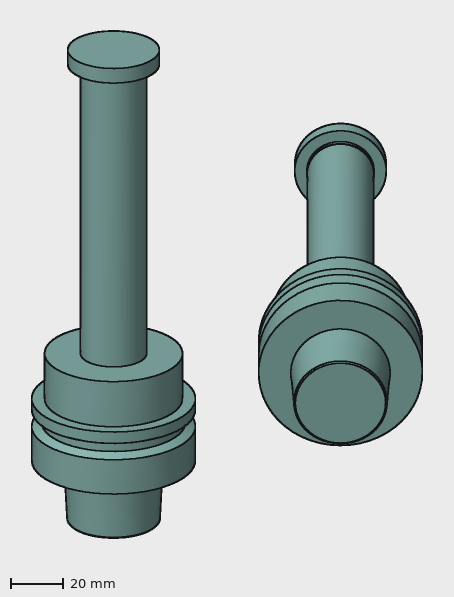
import cadquery as cq

TOTAL_HEIGHT = 198.0
FLANGE_BOTTOM = 25.0
FLANGE_TOP = 51.0
NOSE_TOP = 70.0
HEAD_THICKNESS = 6.1
NECK_LENGTH = 1.8
HEAD_BOTTOM = TOTAL_HEIGHT - HEAD_THICKNESS
SHANK_TOP = HEAD_BOTTOM - NECK_LENGTH

FLANGE_RADIUS = 63.0 / 2
NOSE_RADIUS = 53.0 / 2
SHANK_RADIUS = 25.5 / 2
NECK_RADIUS = 26.0 / 2
HEAD_RADIUS = 35.2 / 2
TAPER_TOP_RADIUS = 38.2 / 2
TAPER_BOTTOM_RADIUS = 35.8 / 2
TAPER_CHAMFER = 0.5

GROOVE_BOTTOM = 39.5
GROOVE_TOP = 46.3
GROOVE_FLOOR_RADIUS = 27.7
GROOVE_FLANK_HEIGHT = 1.8


def revolve_profile(points):
    """Revolve a closed (radius, height) outline around the Z axis."""
    return cq.Workplane("XZ").polyline(points).close().revolve(360, (0, 0), (0, 1))


def make_holder():
    """Tapered tool holder with a grooved flange, a nose and a long shank."""
    return revolve_profile([
        (0, 0),
        (TAPER_BOTTOM_RADIUS - TAPER_CHAMFER, 0),
        (TAPER_BOTTOM_RADIUS, TAPER_CHAMFER),
        (TAPER_TOP_RADIUS, FLANGE_BOTTOM),
        (FLANGE_RADIUS, FLANGE_BOTTOM),
        (FLANGE_RADIUS, GROOVE_BOTTOM),
        (GROOVE_FLOOR_RADIUS, GROOVE_BOTTOM + GROOVE_FLANK_HEIGHT),
        (GROOVE_FLOOR_RADIUS, GROOVE_TOP - GROOVE_FLANK_HEIGHT),
        (FLANGE_RADIUS, GROOVE_TOP),
        (FLANGE_RADIUS, FLANGE_TOP),
        (NOSE_RADIUS, FLANGE_TOP),
        (NOSE_RADIUS, NOSE_TOP),
        (SHANK_RADIUS, NOSE_TOP),
        (SHANK_RADIUS, SHANK_TOP),
        (0, SHANK_TOP),
    ])


def make_head():
    """Disc head with a short neck that rests on the end of the shank."""
    return revolve_profile([
        (0, SHANK_TOP),
        (NECK_RADIUS, SHANK_TOP),
        (NECK_RADIUS, HEAD_BOTTOM),
        (HEAD_RADIUS, HEAD_BOTTOM),
        (HEAD_RADIUS, TOTAL_HEIGHT),
        (0, TOTAL_HEIGHT),
    ])


holder = make_holder()
head = make_head()
result = cq.Compound.makeCompound([holder.val(), head.val()])